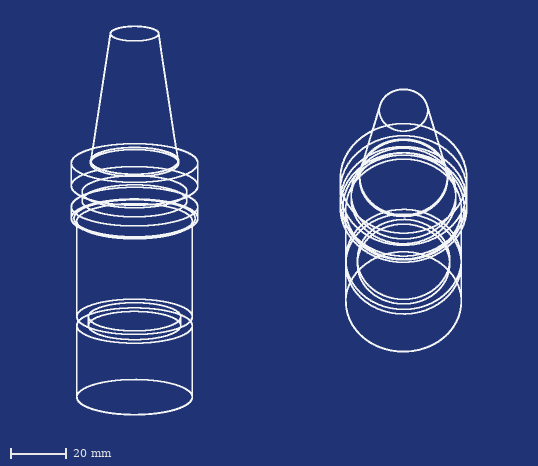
import cadquery as cq

total_height = 138.4
nut_height = 27.3
body_bottom = 30.6
body_top = 67.0
flange_bottom = 68.1
flange_top = 89.1
taper_bottom = 90.0

taper_tip_diameter = 17.6
taper_base_diameter = 31.7
collar_diameter = 32.0
flange_diameter = 46.0
groove_diameter = 38.0
body_diameter = 42.0
flange_relief_diameter = 44.0
neck_diameter = 33.5
nut_diameter = body_diameter

groove_floor_bottom = 74.7
groove_floor_top = 78.2
groove_slope_height = 2.2


def cylinder(diameter, bottom, top):
    return cq.Workplane("XY").workplane(offset=bottom).circle(diameter / 2).extrude(top - bottom)


def cone(bottom_diameter, top_diameter, bottom, top):
    return (
        cq.Workplane("XY")
        .workplane(offset=bottom)
        .circle(bottom_diameter / 2)
        .workplane(offset=top - bottom)
        .circle(top_diameter / 2)
        .loft(ruled=True)
    )


def make_flange():
    groove_bottom = groove_floor_bottom - groove_slope_height
    groove_top = groove_floor_top + groove_slope_height
    lower_rim = cylinder(flange_diameter, flange_bottom, groove_bottom)
    lower_slope = cone(flange_diameter, groove_diameter, groove_bottom, groove_floor_bottom)
    groove_floor = cylinder(groove_diameter, groove_floor_bottom, groove_floor_top)
    upper_slope = cone(groove_diameter, flange_diameter, groove_floor_top, groove_top)
    upper_rim = cylinder(flange_diameter, groove_top, flange_top)
    return lower_rim.union(lower_slope).union(groove_floor).union(upper_slope).union(upper_rim)


def make_holder():
    """Tool holder: neck, body, grooved flange, collar and taper shank in one solid."""
    neck = cylinder(neck_diameter, nut_height, body_bottom)
    body = cylinder(body_diameter, body_bottom, body_top)
    flange_relief = cone(body_diameter, flange_relief_diameter, body_top, flange_bottom)
    collar = cylinder(collar_diameter, flange_top, taper_bottom)
    taper = cone(taper_base_diameter, taper_tip_diameter, taper_bottom, total_height)
    return neck.union(body).union(flange_relief).union(make_flange()).union(collar).union(taper)


def make_nut():
    """Plain round clamping nut, seated against the end of the neck."""
    return cylinder(nut_diameter, 0, nut_height)


holder = make_holder()
nut = make_nut()
result = cq.Compound.makeCompound([holder.val(), nut.val()])